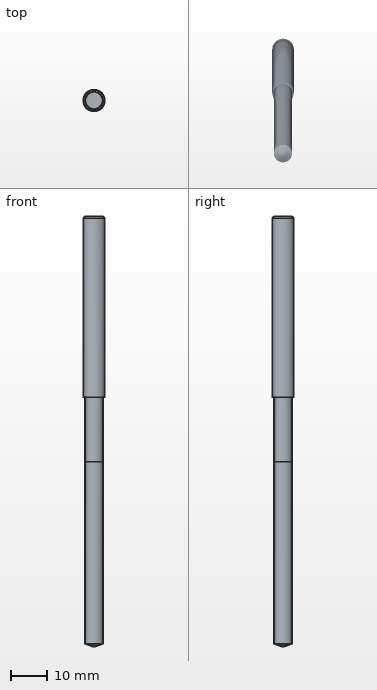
import cadquery as cq
import math

total_length = 118.9
shank_length = 50.0
cutting_length = 51.1
shank_bottom = total_length - shank_length

shank_radius = 3.0
drill_radius = 2.5
shank_chamfer = 0.6

point_angle = 140.0
point_height = drill_radius / math.tan(math.radians(point_angle / 2))


def revolve_profile(points):
    """Revolve a closed (radius, height) outline about the Z axis, with its seam on the -Y side."""
    turned = cq.Workplane("XZ").polyline(points).close().revolve(360, (0, 0), (0, 1))
    return turned.rotate((0, 0, 0), (0, 0, 1), -90)


def make_cutting_part():
    """Lower cylinder ending in the conical point."""
    return revolve_profile([
        (0, 0),
        (drill_radius, point_height),
        (drill_radius, cutting_length),
        (0, cutting_length),
    ])


def make_shank():
    """Neck that continues the cutting diameter, stepping out to the chamfered shank."""
    return revolve_profile([
        (0, cutting_length),
        (drill_radius, cutting_length),
        (drill_radius, shank_bottom),
        (shank_radius, shank_bottom),
        (shank_radius, total_length - shank_chamfer),
        (shank_radius - shank_chamfer, total_length),
        (0, total_length),
    ])


cutting_part = make_cutting_part()
shank = make_shank()

result = cq.Compound.makeCompound([cutting_part.val(), shank.val()])